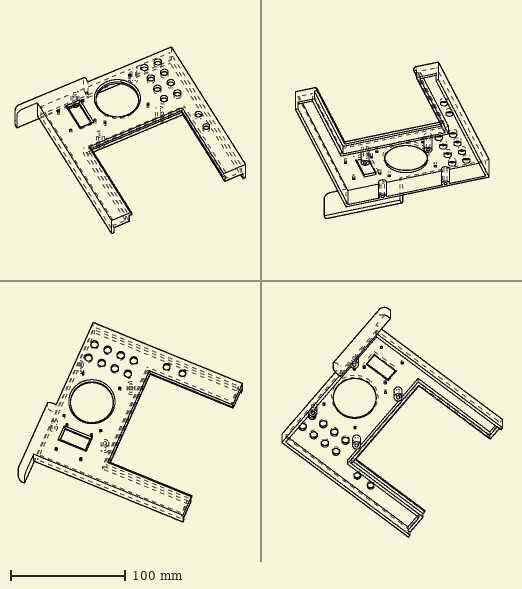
import cadquery as cq


body_length = 142.25
body_width = 132.0
body_height = 20.0
plate_thickness = 4.0
wall_thickness = 2.5
edge_chamfer = 1.5

bay_left = 64.25
bay_rear = 23.0
bay_front = 112.0
bay_wall_depth = 12.5
lip_overhang = 2.5

grip_thickness = 8.25
grip_length = 70.0
grip_height = 25.0
grip_overhang = 20.25
grip_radius = 6.0

button_diameter = 6.5
button_pitch_across = 12.5
button_pitch_back = 13.25
button_columns = 4
button_rows = 2
button_first_across = 9.0
button_first_back = 18.0
lamp_diameter = 6.0
lamp_across = (75.25, 90.25)
lamp_back = 12.0

screw_diameter = 2.0
instruments_across = 27.75
dial_diameter = 37.5
dial_back = 67.5
dial_screw_spacing = (35.0, 42.5)
window_size = (24.0, 11.0)
window_back = 104.5
window_screw_spacing = (23.5, 24.0)
window_screws_back = 107.5

post_diameter = 7.0
post_bore = 3.0
post_spacing = (49.0, 58.0)
posts_across = 28.25
posts_back = 68.0


def block(left, right, rear, front, top, bottom):
    """Box between two across positions, two back positions and two heights."""
    return cq.Workplane("XY").box(
        right - left, front - rear, top - bottom, centered=False
    ).translate((left, -front, bottom))


def cylinders(points, diameter, top, bottom):
    """Upright cylinders at (across, back) points."""
    centres = [(across, -back) for across, back in points]
    return (
        cq.Workplane("XY", origin=(0, 0, bottom))
        .pushPoints(centres)
        .circle(diameter / 2)
        .extrude(top - bottom)
    )


def four_corners(across, back, spacing):
    """Corner points of a rectangle centred at (across, back)."""
    half_across, half_back = spacing[0] / 2, spacing[1] / 2
    return [
        (across + i * half_across, back + j * half_back)
        for i in (-1, 1)
        for j in (-1, 1)
    ]


def make_shell():
    """U-shaped body, hollow underneath: full-height outer walls on the left, rear
    and front, and shorter walls round the bay and across the arm ends."""
    bay_wall_left = bay_left - lip_overhang
    bay_wall_rear = bay_rear - lip_overhang
    bay_wall_front = bay_front + lip_overhang
    inner_front = body_width - wall_thickness

    shell = block(0, body_length, 0, body_width, 0, -body_height)
    cavity = block(
        wall_thickness,
        body_length - wall_thickness,
        wall_thickness,
        inner_front,
        -plate_thickness,
        -bay_wall_depth,
    )
    bay_surround = block(
        bay_wall_left - wall_thickness,
        body_length,
        bay_wall_rear - wall_thickness,
        bay_wall_front + wall_thickness,
        -plate_thickness,
        -bay_wall_depth,
    )
    below_short_walls = block(
        wall_thickness, body_length, wall_thickness, inner_front, -bay_wall_depth, -body_height
    )
    bay_below_lip = block(
        bay_wall_left,
        body_length,
        bay_wall_rear,
        bay_wall_front,
        -plate_thickness,
        -bay_wall_depth,
    )
    shell = shell.cut(cavity.cut(bay_surround))
    return shell.cut(below_short_walls).cut(bay_below_lip)


def flared_rectangle(left, right, rear, front):
    """Cutter for a rectangular opening through the plate with a chamfered top edge."""
    cutter = block(left, right, rear, front, 0, -plate_thickness)
    flare = (
        cq.Workplane("XY", origin=((left + right) / 2, -(rear + front) / 2, -edge_chamfer))
        .rect(right - left, front - rear)
        .workplane(offset=edge_chamfer)
        .rect(right - left + 2 * edge_chamfer, front - rear + 2 * edge_chamfer)
        .loft(ruled=True)
    )
    return cutter.union(flare)


def flared_circle(across, back, diameter):
    """Cutter for a round opening through the plate with a chamfered top edge."""
    radius = diameter / 2
    return (
        cq.Workplane("XZ")
        .moveTo(0, 0)
        .lineTo(radius + edge_chamfer, 0)
        .lineTo(radius, -edge_chamfer)
        .lineTo(radius, -plate_thickness)
        .lineTo(0, -plate_thickness)
        .close()
        .revolve(360, (0, 0), (0, 1))
        .translate((across, -back, 0))
    )


def make_grip():
    """Bar on the left side, rounded outside, at its front end and on top of that end."""
    front = body_width + grip_overhang
    grip = block(-grip_thickness, 0, front - grip_length, front, 0, -grip_height)
    outer_edges = grip.faces("<X").edges("not >Y")
    return outer_edges.add(grip.edges(">Z and <Y")).fillet(grip_radius)


def make_posts():
    """Mounting posts from the plate down to the body's lower rim, bored from below."""
    points = four_corners(posts_across, posts_back, post_spacing)
    posts = cylinders(points, post_diameter, -plate_thickness, -body_height)
    bores = cylinders(points, post_bore, -plate_thickness, -body_height)
    return posts, bores


def make_small_holes():
    """Button, lamp and screw holes through the plate."""
    buttons = [
        (
            button_first_across + column * button_pitch_across,
            button_first_back + row * button_pitch_back,
        )
        for column in range(button_columns)
        for row in range(button_rows)
    ]
    lamps = [(across, lamp_back) for across in lamp_across]
    screws = four_corners(instruments_across, dial_back, dial_screw_spacing)
    screws += four_corners(instruments_across, window_screws_back, window_screw_spacing)
    return [
        cylinders(buttons, button_diameter, 0, -plate_thickness),
        cylinders(lamps, lamp_diameter, 0, -plate_thickness),
        cylinders(screws, screw_diameter, 0, -plate_thickness),
    ]


def make_openings():
    """Bay, window and dial openings, all with a chamfered top edge."""
    bay = flared_rectangle(bay_left, body_length + bay_left, bay_rear, bay_front)
    window = flared_rectangle(
        instruments_across - window_size[0] / 2,
        instruments_across + window_size[0] / 2,
        window_back - window_size[1] / 2,
        window_back + window_size[1] / 2,
    )
    dial = flared_circle(instruments_across, dial_back, dial_diameter)
    return [bay, window, dial]


posts, bores = make_posts()
body = make_shell().union(posts).cut(bores).union(make_grip())
for cutter in make_openings() + make_small_holes():
    body = body.cut(cutter)
result = cq.Workplane(body.solids().val())